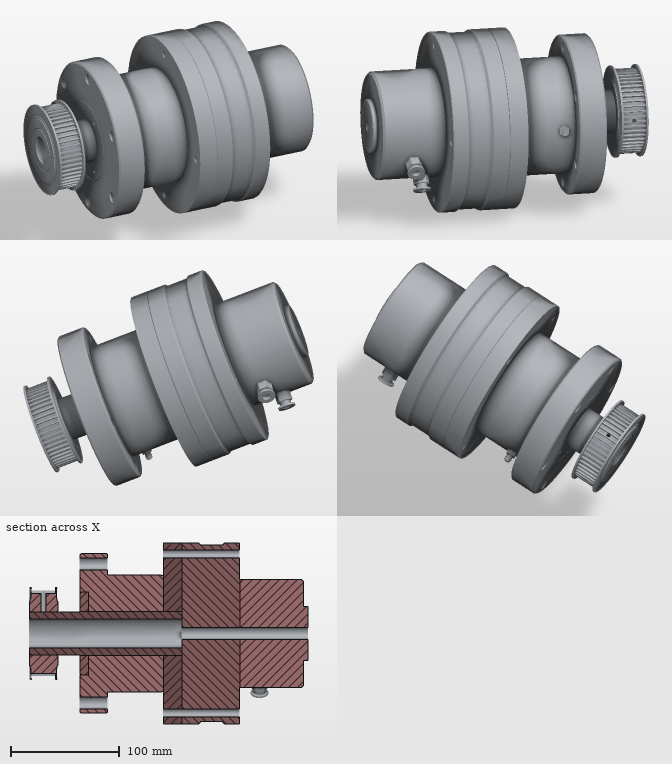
import cadquery as cq
import math


LENGTH = 257.0
HOUSING_BACK = 252.6
DRUM_BACK = 194.0
GROOVE_BACK = 179.6
GROOVE_FRONT = 156.0
DRUM_FRONT = 140.3
PLATE_FRONT = 123.4
QUILL_FLANGE_BACK = 72.5
QUILL_FRONT = 46.8
PULLEY_BACK = 26.7

BACK_BOSS_DIA = 50.0
BACK_BOSS_CHAMFER = 0.8
HOUSING_DIA = 100.2
HOUSING_CHAMFER = 2.0
DRUM_DIA = 167.0
DRUM_EDGE_CHAMFER = 0.8
GROOVE_DIA = 163.2
GROOVE_SLOPE = (DRUM_DIA - GROOVE_DIA) / 2
CENTRE_BORE_DIA = 10.3
OIL_PORT_DIA = 5.5
OIL_PORT_DEPTH = 5.1
OIL_PORT_RADIUS = 11.3
OIL_PORT_ANGLE = 35.0
DRILL_TIP_ANGLE = 118.0

PLATE_HOLE_DIA = 6.7
PLATE_HOLE_RADIUS = 73.2
PLATE_HOLE_COUNT = 4
QUILL_DIA = 108.0
QUILL_RELIEF_WIDTH = 1.8
QUILL_RELIEF_DEPTH = 0.3
QUILL_FLANGE_DIA = 147.5
QUILL_FLANGE_CHAMFER = 1.3
BOLT_HOLE_DIA = 10.3
BOLT_CIRCLE_RADIUS = 64.0
BOLT_HOLE_COUNT = 6
BOLT_FIRST_HOLE_ANGLE = 30.0

COVER_DIA = 76.0
COVER_THICKNESS = 7.7
COVER_CHAMFER = 1.0
COVER_HOLE_DIA = 4.0
COVER_HOLE_RADIUS = 29.0
COVER_HOLE_COUNT = 3
COVER_FIRST_HOLE_ANGLE = 60.0

SHAFT_DIA = 40.0
SHAFT_BORE_DIA = 26.0
PULLEY_RIM_DIA = 85.0
PULLEY_RIM_WIDTH = 1.8
PULLEY_RIM_SETBACK = 0.8
PULLEY_RIM_LIP = 1.0
PULLEY_RIM_LIP_DEPTH = 0.5
PULLEY_HUB_DIA = 60.0
PULLEY_COLLAR_DIA = 64.8
PULLEY_COLLAR_BEVEL = 0.8
PULLEY_COLLAR_HEIGHT = 0.5
PULLEY_BORE_CHAMFER = 0.9
TOOTH_DIA = 78.6
TOOTH_ROOT_DIA = 74.0
TOOTH_COUNT = 50
TOOTH_GAP_OPENING = 3.5
TOOTH_GAP_BOTTOM = 2.8
SET_SCREW_DIA = 4.0
SET_SCREW_Y = PULLEY_BACK / 2
SET_SCREW_ANGLES = (0, -90)

HEX_SIDES = 6

FITTING_HEX_CORNERS = 15.0
FITTING_HEX_END = 58.3
FITTING_NECK_DIA = 10.3
FITTING_COLLAR_START = 62.5
FITTING_COLLAR_DIA = 16.2
FITTING_END = 64.2
FITTING_BORE_DIA = 7.7
FITTING_PLACES = [(223.0, 30.0), (212.3, 60.0)]

NIPPLE_Y = 83.5
NIPPLE_HEX_TURN = 180 / HEX_SIDES
NIPPLE_HEX_CORNERS = 9.8
NIPPLE_HEX_END = 57.5
NIPPLE_NECK_DIA = 4.0
NIPPLE_NECK_END = 59.0
NIPPLE_HEAD_DIA = 6.0
NIPPLE_RIM_DIA = 6.7
NIPPLE_RIM_START = 60.7
NIPPLE_RIM_END = 61.2
NIPPLE_HEAD_END = 63.2
NIPPLE_END = 64.2


def rod(dia, front, back):
    """Cylinder on the spindle axis from `front` to `back`."""
    return cq.Workplane("XZ", origin=(0, front, 0)).circle(dia / 2).extrude(front - back)


def rods_on_circle(dia, radius, count, first_angle, front, back):
    """Rods parallel to the spindle axis, evenly spaced around it."""
    rods = cq.Workplane("XZ", origin=(0, front, 0))
    rods = rods.polarArray(radius, first_angle, 360, count)
    return rods.circle(dia / 2).extrude(front - back)


def radial_plane(y, angle_below):
    """Workplane on the axis whose normal points outward, `angle_below` degrees below -X."""
    angle = math.radians(angle_below)
    outward = (-math.cos(angle), 0, -math.sin(angle))
    return cq.Workplane(cq.Plane(origin=(0, y, 0), xDir=(0, 1, 0), normal=outward))


def radial_rod(plane, dia, start, end):
    """Cylinder along the plane's normal, between two distances from the spindle axis."""
    return plane.workplane(offset=start).circle(dia / 2).extrude(end - start)


def make_oil_port(angle):
    """Blind hole with a conical drill tip, opening at the front of the drum."""
    radius = OIL_PORT_DIA / 2
    tip_length = radius / math.tan(math.radians(DRILL_TIP_ANGLE / 2))
    profile = cq.Workplane("XY").moveTo(0, DRUM_FRONT).lineTo(radius, DRUM_FRONT)
    profile = profile.lineTo(radius, DRUM_FRONT + OIL_PORT_DEPTH)
    profile = profile.lineTo(0, DRUM_FRONT + OIL_PORT_DEPTH + tip_length).close()
    port = profile.revolve(360, (0, 0, 0), (0, 1, 0))
    turn = math.radians(angle)
    return port.translate((OIL_PORT_RADIUS * math.cos(turn), 0, OIL_PORT_RADIUS * math.sin(turn)))


def make_union_housing():
    housing = rod(HOUSING_DIA, DRUM_BACK, HOUSING_BACK).faces(">Y").chamfer(HOUSING_CHAMFER)
    boss = rod(BACK_BOSS_DIA, HOUSING_BACK, LENGTH).faces(">Y").chamfer(BACK_BOSS_CHAMFER)
    return housing.union(boss).cut(rod(CENTRE_BORE_DIA, DRUM_BACK, LENGTH))


def make_drum():
    rim = DRUM_DIA / 2
    neck = GROOVE_DIA / 2
    outline = [
        (0, DRUM_FRONT),
        (rim, DRUM_FRONT),
        (rim, GROOVE_FRONT),
        (neck, GROOVE_FRONT + GROOVE_SLOPE),
        (neck, GROOVE_BACK - GROOVE_SLOPE),
        (rim, GROOVE_BACK),
        (rim, DRUM_BACK),
        (0, DRUM_BACK),
    ]
    drum = cq.Workplane("XY").polyline(outline).close().revolve(360, (0, 0, 0), (0, 1, 0))
    drum = drum.faces("<Y or >Y").chamfer(DRUM_EDGE_CHAMFER)
    drum = drum.cut(rod(CENTRE_BORE_DIA, DRUM_FRONT, DRUM_BACK))
    for angle in (OIL_PORT_ANGLE, OIL_PORT_ANGLE + 180):
        drum = drum.cut(make_oil_port(angle))
    return drum.cut(make_plate_holes(DRUM_FRONT, DRUM_BACK))


def make_plate_holes(front, back):
    return rods_on_circle(PLATE_HOLE_DIA, PLATE_HOLE_RADIUS, PLATE_HOLE_COUNT, 0, front, back)


def make_drum_plate():
    plate = rod(DRUM_DIA, PLATE_FRONT, DRUM_FRONT).cut(rod(SHAFT_DIA, PLATE_FRONT, DRUM_FRONT))
    return plate.cut(make_plate_holes(PLATE_FRONT, DRUM_FRONT))


def make_quill():
    relief_front = PLATE_FRONT - QUILL_RELIEF_WIDTH
    flange = rod(QUILL_FLANGE_DIA, QUILL_FRONT, QUILL_FLANGE_BACK)
    flange = flange.faces("<Y or >Y").chamfer(QUILL_FLANGE_CHAMFER)
    quill = flange.union(rod(QUILL_DIA, QUILL_FRONT, relief_front))
    quill = quill.union(rod(QUILL_DIA - 2 * QUILL_RELIEF_DEPTH, QUILL_FRONT, PLATE_FRONT))
    quill = quill.cut(rod(SHAFT_DIA, QUILL_FRONT, PLATE_FRONT))
    quill = quill.cut(rod(COVER_DIA, QUILL_FRONT, QUILL_FRONT + COVER_THICKNESS))
    bolt_holes = rods_on_circle(
        BOLT_HOLE_DIA,
        BOLT_CIRCLE_RADIUS,
        BOLT_HOLE_COUNT,
        BOLT_FIRST_HOLE_ANGLE,
        QUILL_FRONT,
        QUILL_FLANGE_BACK,
    )
    return quill.cut(bolt_holes)


def make_seal_cover():
    back = QUILL_FRONT + COVER_THICKNESS
    cover = rod(COVER_DIA, QUILL_FRONT, back).faces("<Y").chamfer(COVER_CHAMFER)
    screw_holes = rods_on_circle(
        COVER_HOLE_DIA,
        COVER_HOLE_RADIUS,
        COVER_HOLE_COUNT,
        COVER_FIRST_HOLE_ANGLE,
        QUILL_FRONT,
        back,
    )
    return cover.cut(rod(SHAFT_DIA, QUILL_FRONT, back)).cut(screw_holes)


def make_shaft():
    return rod(SHAFT_DIA, 0, DRUM_FRONT).cut(rod(SHAFT_BORE_DIA, 0, DRUM_FRONT))


def make_tooth_gaps(front, back):
    """Trapezoidal gaps around the pulley, the first one at the top."""
    root = TOOTH_ROOT_DIA / 2
    top = TOOTH_DIA / 2
    gap_outline = [
        (-TOOTH_GAP_BOTTOM / 2, root),
        (TOOTH_GAP_BOTTOM / 2, root),
        (TOOTH_GAP_OPENING / 2, top),
        (-TOOTH_GAP_OPENING / 2, top),
    ]
    gap = cq.Workplane("XZ", origin=(0, front, 0)).polyline(gap_outline).close().extrude(front - back)
    gaps = []
    for number in range(TOOTH_COUNT):
        gaps.append(gap.rotate((0, 0, 0), (0, 1, 0), number * 360 / TOOTH_COUNT).val())
    return cq.Compound.makeCompound(gaps)


def pulley_half_outline():
    """Front half of the pulley section as (radius, Y) points, from the bore out to the teeth."""
    bore = SHAFT_DIA / 2
    hub = PULLEY_HUB_DIA / 2
    collar = PULLEY_COLLAR_DIA / 2
    rim = PULLEY_RIM_DIA / 2
    rim_face = PULLEY_RIM_SETBACK + PULLEY_RIM_LIP_DEPTH
    collar_face = rim_face - PULLEY_COLLAR_HEIGHT
    return [
        (bore, PULLEY_BORE_CHAMFER),
        (bore + PULLEY_BORE_CHAMFER, 0),
        (hub, 0),
        (hub, collar_face),
        (collar - PULLEY_COLLAR_BEVEL, collar_face),
        (collar, rim_face),
        (rim - PULLEY_RIM_LIP, rim_face),
        (rim, PULLEY_RIM_SETBACK),
        (rim, PULLEY_RIM_SETBACK + PULLEY_RIM_WIDTH),
        (TOOTH_DIA / 2, PULLEY_RIM_SETBACK + PULLEY_RIM_WIDTH),
    ]


def make_pulley():
    teeth_front = PULLEY_RIM_SETBACK + PULLEY_RIM_WIDTH
    front_half = pulley_half_outline()
    back_half = [(radius, PULLEY_BACK - y) for radius, y in reversed(front_half)]
    outline = front_half + back_half
    pulley = cq.Workplane("XY").polyline(outline).close().revolve(360, (0, 0, 0), (0, 1, 0))
    pulley = pulley.cut(make_tooth_gaps(teeth_front, PULLEY_BACK - teeth_front))
    for angle_below in SET_SCREW_ANGLES:
        plane = radial_plane(SET_SCREW_Y, angle_below)
        pulley = pulley.cut(radial_rod(plane, SET_SCREW_DIA, 0, TOOTH_DIA / 2))
    return pulley


def make_fitting(y, angle_below):
    """Hose fitting whose hexagon sits on the curved wall of the union housing."""
    plane = radial_plane(y, angle_below)
    fitting = plane.polygon(HEX_SIDES, FITTING_HEX_CORNERS).extrude(FITTING_HEX_END)
    fitting = fitting.union(radial_rod(plane, FITTING_NECK_DIA, FITTING_HEX_END, FITTING_COLLAR_START))
    fitting = fitting.union(radial_rod(plane, FITTING_COLLAR_DIA, FITTING_COLLAR_START, FITTING_END))
    fitting = fitting.cut(radial_rod(plane, FITTING_BORE_DIA, 0, FITTING_END))
    return fitting.cut(rod(HOUSING_DIA, DRUM_BACK, HOUSING_BACK))


def make_grease_nipple():
    """Grease nipple whose hexagon sits on the curved wall of the quill."""
    plane = radial_plane(NIPPLE_Y, 0)
    turned_plane = plane.transformed(rotate=(0, 0, NIPPLE_HEX_TURN))
    nipple = turned_plane.polygon(HEX_SIDES, NIPPLE_HEX_CORNERS).extrude(NIPPLE_HEX_END)
    nipple = nipple.union(radial_rod(plane, NIPPLE_NECK_DIA, NIPPLE_HEX_END, NIPPLE_END))
    nipple = nipple.union(radial_rod(plane, NIPPLE_HEAD_DIA, NIPPLE_NECK_END, NIPPLE_HEAD_END))
    nipple = nipple.union(radial_rod(plane, NIPPLE_RIM_DIA, NIPPLE_RIM_START, NIPPLE_RIM_END))
    return nipple.cut(rod(QUILL_DIA, QUILL_FLANGE_BACK, PLATE_FRONT))


union_housing = make_union_housing()
drum = make_drum()
drum_plate = make_drum_plate()
quill = make_quill()
seal_cover = make_seal_cover()
shaft = make_shaft()
pulley = make_pulley()
grease_nipple = make_grease_nipple()
fittings = [make_fitting(y, angle).val() for y, angle in FITTING_PLACES]

result = cq.Compound.makeCompound(
    [
        union_housing.val(),
        drum.val(),
        drum_plate.val(),
        quill.val(),
        seal_cover.val(),
        shaft.val(),
        pulley.val(),
        grease_nipple.val(),
        *fittings,
    ]
)